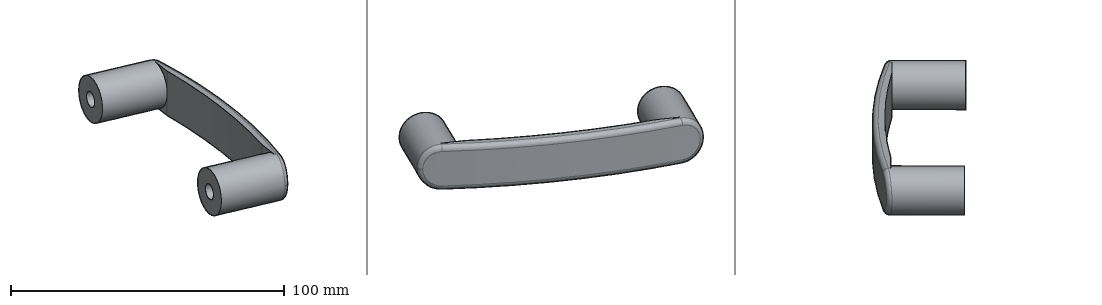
import cadquery as cq

length = 108.0
height = 33.9
width = 18.0

post_height = 27.0
hole_diameter = 6.0
hole_depth = 15.1
grip_thickness = 4.5
edge_radius = 2.0
end_drop = 5.7

half_length = length / 2
post_radius = width / 2
post_offset = half_length - post_radius
inner_half_span = post_offset - post_radius


def make_cylinders(radius, depth):
    """One cylinder on each post axis, rising from the mounting face at Y = 0."""
    centres = [(-post_offset, 0), (post_offset, 0)]
    return cq.Workplane("XZ").pushPoints(centres).circle(radius).extrude(-depth)


def make_bar():
    """Grip between the post axes: flat underside by the posts, arched between them."""
    return (
        cq.Workplane("XY")
        .workplane(offset=-width / 2)
        .moveTo(-post_offset, height)
        .lineTo(-post_offset, post_height)
        .lineTo(-inner_half_span, post_height)
        .threePointArc((0, height - grip_thickness), (inner_half_span, post_height))
        .lineTo(post_offset, post_height)
        .lineTo(post_offset, height)
        .close()
        .extrude(width)
    )


def make_bow_envelope():
    """Everything below the bowed outer face."""
    tip_height = height - end_drop
    return (
        cq.Workplane("XY")
        .workplane(offset=-width)
        .moveTo(-half_length, 0)
        .lineTo(half_length, 0)
        .lineTo(half_length, tip_height)
        .threePointArc((0, height), (-half_length, tip_height))
        .close()
        .extrude(2 * width)
    )


handle = make_cylinders(post_radius, height).union(make_bar()).intersect(make_bow_envelope())

handle = handle.faces(">Y").edges().fillet(edge_radius)

result = handle.cut(make_cylinders(hole_diameter / 2, hole_depth))